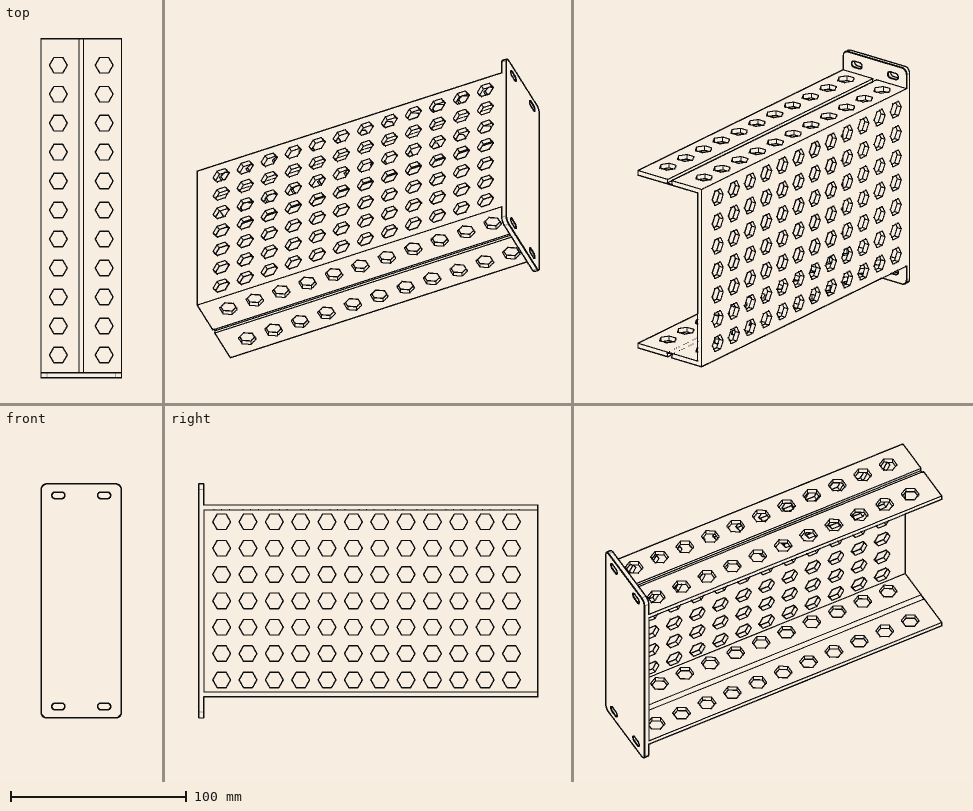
import cadquery as cq

width = 46.0
length = 193.0
plate_height = 133.4

plate_thickness = 3.0
plate_corner_radius = 3.5
rim_chamfer = 0.29
slot_length = 7.1
slot_width = 3.5
slot_spacing_z = 120.0

body_height = 109.2
wall = 2.9

groove_mouth = 2.7
groove_undercut = 0.46
groove_depth = 2.3

hex_corners = 10.0
hex_back_margin = 15.0
perforated_length = 164.8
side_columns = 12
side_rows = 7
side_pitch = perforated_length / (side_columns - 1)
roof_columns = 2
roof_rows = 11
roof_pitch_y = perforated_length / (roof_rows - 1)
perforation_center_y = length - hex_back_margin - perforated_length / 2

column_spacing_x = 26.0


def box_between(y_start, y_end, height):
    """Full-width box centred on X and Z that spans y_start to y_end."""
    box = cq.Workplane("XY").box(width, y_end - y_start, height)
    return box.translate((0, (y_start + y_end) / 2, 0))


def make_plate():
    plate = box_between(0, plate_thickness, plate_height).edges("|Y").fillet(plate_corner_radius)
    slots = (
        cq.Workplane("XZ")
        .rarray(column_spacing_x, slot_spacing_z, 2, 2)
        .slot2D(slot_length, slot_width)
        .extrude(-plate_thickness)
    )
    return plate.cut(slots).faces("<Y or >Y").chamfer(rim_chamfer)


def make_groove(side):
    """Groove cutter for the roof (side = 1) or the floor (side = -1)."""
    outer_z = side * body_height / 2
    inner_z = side * (body_height / 2 - groove_depth)
    half_mouth = groove_mouth / 2
    half_base = half_mouth + groove_undercut
    return (
        cq.Workplane("XZ", origin=(0, plate_thickness, 0))
        .moveTo(-half_mouth, outer_z)
        .lineTo(half_mouth, outer_z)
        .lineTo(half_base, inner_z)
        .lineTo(-half_base, inner_z)
        .close()
        .extrude(plate_thickness - length)
    )


def make_channel():
    channel = box_between(rim_chamfer, length, body_height)
    cavity = box_between(plate_thickness, length, body_height - 2 * wall).translate((wall, 0, 0))
    return channel.cut(cavity).cut(make_groove(1)).cut(make_groove(-1))


def make_side_holes():
    return (
        cq.Workplane("YZ", origin=(-width / 2, perforation_center_y, 0))
        .rarray(side_pitch, side_pitch, side_columns, side_rows)
        .polygon(6, hex_corners)
        .extrude(wall)
    )


def make_roof_and_floor_holes():
    return (
        cq.Workplane("XY", origin=(0, perforation_center_y, -body_height / 2))
        .rarray(column_spacing_x, roof_pitch_y, roof_columns, roof_rows)
        .polygon(6, hex_corners)
        .extrude(body_height)
    )


result = (
    make_plate()
    .union(make_channel())
    .cut(make_side_holes())
    .cut(make_roof_and_floor_holes())
)